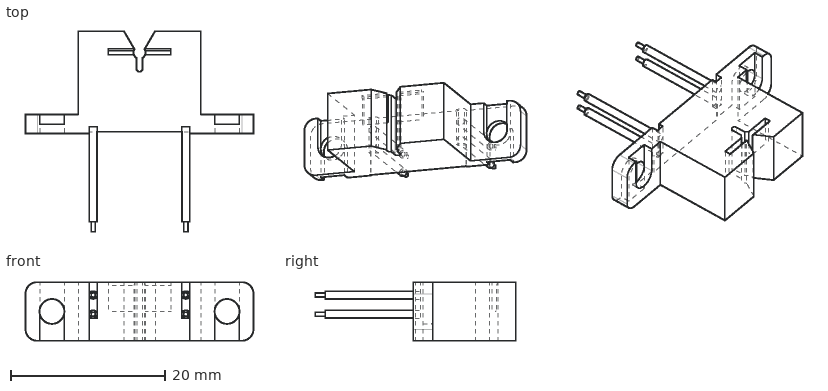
import cadquery as cq
import math

height = 7.63
flange_width = 29.6
flange_thickness = 2.52
flange_corner_radius = 1.55
body_width = 15.92
body_front = 13.32

mount_spacing = 22.7
mount_diameter = 3.2

wire_spacing_x = 12.0
wire_pitch_z = 2.5
top_wire_depth = 1.7
sleeve_diameter = 1.05
conductor_diameter = 0.55
sleeve_end = -11.42
conductor_end = -12.72

recess_depth = 0.25
channel_width = 1.07
channel_depth = 0.9

mouth_width = 4.02
mouth_half_angle = 30.0
chamber_diameter = 1.55
chamber_depth = 2.8
slit_width = 0.77
slit_depth = 5.27

aperture_length = 8.17
aperture_front_depth = 2.3
aperture_width = 0.55
bevel_width = 0.25
bevel_slope = 60.0
aperture_depth = height / 2

top_z = height / 2
half_wire_spacing = wire_spacing_x / 2
upper_wire_z = top_z - top_wire_depth
lower_wire_z = upper_wire_z - wire_pitch_z


def block(x_range, y_range, z_range):
    """Axis-aligned box given by its lower and upper limits."""
    (x0, x1), (y0, y1), (z0, z1) = x_range, y_range, z_range
    return cq.Workplane("XY").box(x1 - x0, y1 - y0, z1 - z0, centered=False).translate((x0, y0, z0))


def cylinder_y(x, z, diameter, y0, y1):
    """Cylinder along Y between y0 and y1."""
    circle = cq.Workplane("XZ", origin=(x, y0, z)).circle(diameter / 2)
    return circle.extrude(y0 - y1)


def make_housing():
    flange = (
        cq.Workplane("XY")
        .box(flange_width, flange_thickness, height, centered=(True, False, True))
        .edges("|Y")
        .fillet(flange_corner_radius)
    )
    body = cq.Workplane("XY").box(body_width, body_front, height, centered=(True, False, True))
    return flange.union(body)


def mount_cut(x):
    """Through hole with an upward slot in front and a downward slot behind."""
    radius = mount_diameter / 2
    middle = flange_thickness / 2
    sides = (x - radius, x + radius)
    hole = cylinder_y(x, 0, mount_diameter, 0, flange_thickness)
    front_slot = block(sides, (middle, flange_thickness), (0, top_z))
    rear_slot = block(sides, (0, middle), (-top_z, 0))
    return hole.union(front_slot).union(rear_slot)


def rear_recess():
    half_width = half_wire_spacing + channel_width / 2
    return block((-half_width, half_width), (0, recess_depth), (-top_z, top_z))


def wire_channel(x):
    half_width = channel_width / 2
    return block((x - half_width, x + half_width), (0, channel_depth), (lower_wire_z - half_width, top_z))


def light_gap():
    mouth_depth = mouth_width / 2 / math.tan(math.radians(mouth_half_angle))
    mouth = (
        cq.Workplane("XY", origin=(0, body_front, -top_z))
        .polyline([(-mouth_width / 2, 0), (mouth_width / 2, 0), (0, -mouth_depth)])
        .close()
        .extrude(height)
    )
    chamber = (
        cq.Workplane("XY", origin=(0, body_front - chamber_depth, -top_z))
        .circle(chamber_diameter / 2)
        .extrude(height)
    )
    slit_length = slit_depth - chamber_depth + slit_width / 2
    slit = (
        cq.Workplane("XY", origin=(0, body_front - slit_depth + slit_length / 2, -top_z))
        .slot2D(slit_length, slit_width, 90)
        .extrude(height)
    )
    return mouth.union(chamber).union(slit)


def aperture_slot():
    radius = aperture_width / 2
    bevel_y = body_front - aperture_front_depth
    front_y = bevel_y - bevel_width
    rear_y = front_y - aperture_width
    bevel_z = top_z - bevel_width * math.tan(math.radians(bevel_slope))
    bottom_z = top_z - aperture_depth
    return (
        cq.Workplane("YZ", origin=(-aperture_length / 2, 0, 0))
        .moveTo(bevel_y, top_z)
        .lineTo(front_y, bevel_z)
        .lineTo(front_y, bottom_z + radius)
        .threePointArc((front_y - radius, bottom_z), (rear_y, bottom_z + radius))
        .lineTo(rear_y, top_z)
        .close()
        .extrude(aperture_length)
    )


def wire(x, z):
    sleeve = cylinder_y(x, z, sleeve_diameter, sleeve_end, channel_depth)
    conductor = cylinder_y(x, z, conductor_diameter, conductor_end, sleeve_end)
    return sleeve.union(conductor)


result = make_housing().cut(rear_recess()).cut(light_gap()).cut(aperture_slot())
for side in (-1, 1):
    result = result.cut(mount_cut(side * mount_spacing / 2))
    wire_x = side * half_wire_spacing
    result = result.cut(wire_channel(wire_x))
    for wire_z in (upper_wire_z, lower_wire_z):
        result = result.union(wire(wire_x, wire_z))